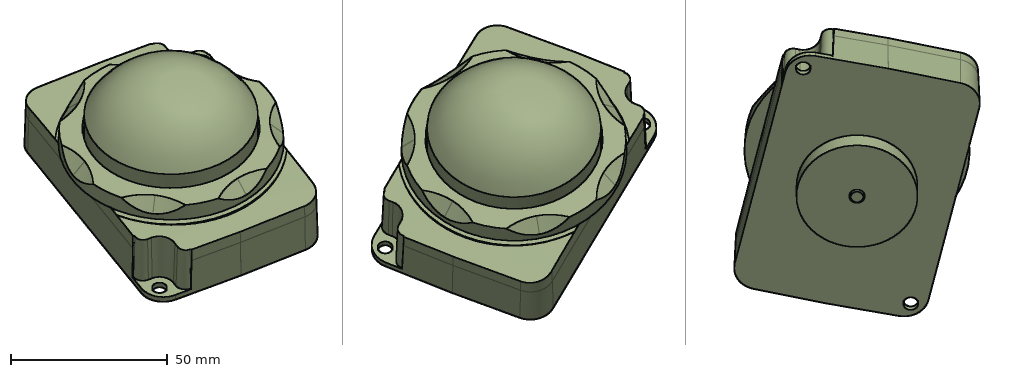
import cadquery as cq
import math

base_half_x = 45.755
base_half_y = 31.7
end_peak = 0.5
parting_z = 14.4
lower_draft = 1.5
upper_draft = 2.0
corner_radius = 7.7
top_flat_z = 19.8
top_flat_half_x = 20.0
top_edge_z = 18.8

parting_inset = parting_z * math.tan(math.radians(lower_draft))
parting_half_x = base_half_x - parting_inset
parting_half_y = base_half_y - parting_inset

ear_thickness = 2.1
ear_hole_diameter = 4.75
ear_hole_x = 39.95
ear_hole_y = 26.45
notch_radius = 5.0
notch_lip_radius = 3.5
notch_draft = 1.8

pad_radius = 37.1
pad_top_z = 19.9
neck_diameter = 61.92
stem_diameter = 38.65
stem_length = 6.0
nub_top_radius = 2.5
nub_tip_radius = 2.0
nub_height = 0.5

ring_bottom_z = 20.8
ring_top_z = 27.5
ring_rim_z = 26.75
ring_bottom_radius = 36.0
ring_rim_radius = 35.7
ring_bore_radius = 28.3
scallop_count = 7
scallop_start = -90.0
scallop_radius = 37.0
scallop_tilt = 45.0
scallop_foot_z = 22.8
scallop_tool_length = 60.0

total_height = 55.66
dome_radius = 27.75
dome_rim_z = 33.0
dome_top_z = total_height - stem_length - nub_height
dome_rise = dome_top_z - dome_rim_z
dome_sphere_radius = (dome_radius**2 + dome_rise**2) / (2 * dome_rise)


def box_outline():
    """Rounded outline of the housing at the parting plane, with a shallow peak on each end wall."""
    end_x = parting_half_x - end_peak
    return (
        cq.Sketch()
        .segment((-end_x, -parting_half_y), (end_x, -parting_half_y))
        .segment((end_x, -parting_half_y), (parting_half_x, 0))
        .segment((parting_half_x, 0), (end_x, parting_half_y))
        .segment((end_x, parting_half_y), (-end_x, parting_half_y))
        .segment((-end_x, parting_half_y), (-parting_half_x, 0))
        .segment((-parting_half_x, 0), (-end_x, -parting_half_y))
        .assemble()
        .vertices(">Y or <Y")
        .fillet(corner_radius)
    )


def drafted_box():
    """Box that narrows upwards, with a change of draft at the parting line."""
    parting_plane = cq.Workplane("XY").workplane(offset=parting_z)
    lower = parting_plane.placeSketch(box_outline()).extrude(-parting_z, taper=-lower_draft)
    upper = parting_plane.placeSketch(box_outline()).extrude(pad_top_z - parting_z, taper=upper_draft)
    return lower.union(upper)


def top_envelope():
    """Everything below the top face, which is flat in the middle and curves down towards both ends."""
    run = base_half_x - top_flat_half_x
    drop = top_flat_z - top_edge_z
    shoulder_radius = (run**2 + drop**2) / (2 * drop)
    half_angle = math.asin(run / shoulder_radius) / 2
    middle_x = top_flat_half_x + shoulder_radius * math.sin(half_angle)
    middle_z = top_flat_z - shoulder_radius * (1 - math.cos(half_angle))
    return (
        cq.Workplane("XZ")
        .moveTo(-base_half_x, 0)
        .lineTo(base_half_x, 0)
        .lineTo(base_half_x, top_edge_z)
        .threePointArc((middle_x, middle_z), (top_flat_half_x, top_flat_z))
        .lineTo(-top_flat_half_x, top_flat_z)
        .threePointArc((-middle_x, middle_z), (-base_half_x, top_edge_z))
        .close()
        .extrude(base_half_y, both=True)
    )


def corner_notch():
    """Tool that clears the corner at +X, -Y above the ear."""
    wall_x = ear_hole_x - notch_radius
    wall_y = -ear_hole_y + notch_radius
    side_x = parting_half_x - end_peak / 2
    side_y = -parting_half_y
    reach = 2 * notch_radius
    diagonal = math.sqrt(0.5)
    lip = notch_lip_radius
    return (
        cq.Workplane("XY")
        .workplane(offset=ear_thickness)
        .moveTo(wall_x - lip, side_y)
        .threePointArc(
            (wall_x - lip + lip * diagonal, side_y + lip - lip * diagonal),
            (wall_x, side_y + lip),
        )
        .lineTo(wall_x, -ear_hole_y)
        .threePointArc(
            (ear_hole_x - notch_radius * diagonal, -ear_hole_y + notch_radius * diagonal),
            (ear_hole_x, wall_y),
        )
        .lineTo(side_x - lip, wall_y)
        .threePointArc(
            (side_x - lip + lip * diagonal, wall_y + lip - lip * diagonal),
            (side_x, wall_y + lip),
        )
        .lineTo(side_x + reach, wall_y + lip)
        .lineTo(side_x + reach, side_y - reach)
        .lineTo(wall_x - lip, side_y - reach)
        .close()
        .extrude(pad_top_z, taper=-notch_draft)
    )


def ear_hole():
    """Tool for the screw hole through the ear at +X, -Y."""
    return (
        cq.Workplane("XY")
        .center(ear_hole_x, -ear_hole_y)
        .circle(ear_hole_diameter / 2)
        .extrude(ear_thickness)
    )


def make_housing():
    """Box with its round pad, notched corners, neck under the ring, and stem with its nub."""
    box = drafted_box()
    pad = cq.Workplane("XY").circle(pad_radius).extrude(pad_top_z).intersect(box)
    housing = box.intersect(top_envelope()).union(pad)
    for turn in (0, 180):
        housing = housing.cut(corner_notch().rotate((0, 0, 0), (0, 0, 1), turn))
        housing = housing.cut(ear_hole().rotate((0, 0, 0), (0, 0, 1), turn))

    neck = (
        cq.Workplane("XY")
        .workplane(offset=pad_top_z)
        .circle(neck_diameter / 2)
        .extrude(ring_bottom_z - pad_top_z)
    )
    stem = cq.Workplane("XY").circle(stem_diameter / 2).extrude(-stem_length)
    nub = (
        cq.Workplane("XY")
        .workplane(offset=-stem_length)
        .circle(nub_top_radius)
        .workplane(offset=-nub_height)
        .circle(nub_tip_radius)
        .loft()
    )
    return housing.union(neck).union(stem).union(nub)


def scallop():
    """Tilted cylinder that hollows the rim on the +X side."""
    tilt = math.radians(scallop_tilt)
    axis_x = ring_bottom_radius + scallop_radius * math.cos(tilt)
    axis_z = scallop_foot_z + scallop_radius * math.sin(tilt)
    return (
        cq.Workplane("XY")
        .circle(scallop_radius)
        .extrude(scallop_tool_length / 2, both=True)
        .rotate((0, 0, 0), (0, 0, 1), 180)
        .rotate((0, 0, 0), (0, 1, 0), -scallop_tilt)
        .translate((axis_x, 0, axis_z))
    )


def make_ring():
    """Ring with a sloped top and tapered rim, scalloped at equal angles."""
    ring = (
        cq.Workplane("YZ")
        .moveTo(ring_bore_radius, ring_bottom_z)
        .lineTo(ring_bottom_radius, ring_bottom_z)
        .lineTo(ring_rim_radius, ring_rim_z)
        .lineTo(ring_bore_radius, ring_top_z)
        .close()
        .revolve(360, (0, 0, 0), (0, 1, 0))
    )
    for index in range(scallop_count):
        angle = scallop_start + index * 360 / scallop_count
        ring = ring.cut(scallop().rotate((0, 0, 0), (0, 0, 1), angle), clean=False)
    return ring


def make_dome():
    """Drum standing on the neck inside the ring, closed by a spherical cap."""
    sphere_z = dome_top_z - dome_sphere_radius
    half_angle = math.asin(dome_radius / dome_sphere_radius) / 2
    cap_middle = (
        dome_sphere_radius * math.sin(half_angle),
        sphere_z + dome_sphere_radius * math.cos(half_angle),
    )
    return (
        cq.Workplane("YZ")
        .moveTo(0, ring_bottom_z)
        .lineTo(dome_radius, ring_bottom_z)
        .lineTo(dome_radius, dome_rim_z)
        .threePointArc(cap_middle, (0, dome_top_z))
        .close()
        .revolve(360, (0, 0, 0), (0, 1, 0))
    )


housing = make_housing()
ring = make_ring()
dome = make_dome()

result = cq.Compound.makeCompound([housing.val(), ring.val(), dome.val()])